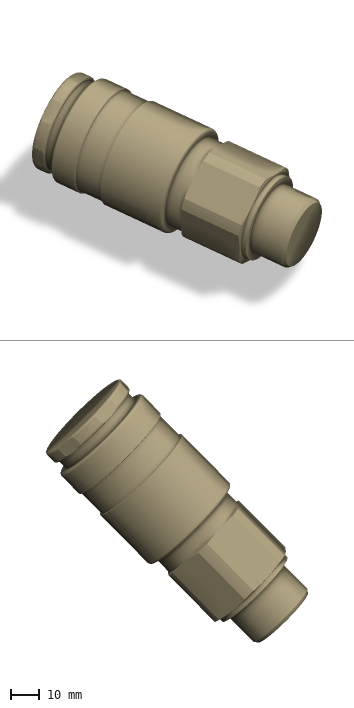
import cadquery as cq
import math


flange_end = 5.0
sleeve_start = 8.8
sleeve_end = 53.8
hex_start = 60.0
hex_end = 84.0
ring_end = 86.0
total_length = 100.0

barrel_diameter = 34.0
ring_diameter = 32.0
stub_diameter = 26.4
stub_chamfer_length = 1.3
stub_chamfer_depth = 1.0

flange_diameter = 37.0
flange_across_flats = 36.0
flange_rounding = 1.0

hex_sides = 6
hex_corner_diameter = 37.0
hex_across_flats = 34.0
hex_turn = 1.4
hex_chamfer_length = 0.4
hex_chamfer_depth = (hex_corner_diameter - hex_across_flats) / 2

sleeve_diameter = 40.0
sleeve_rounding = 1.0
groove_diameter = 38.5
groove_start = 18.5
groove_end = 29.1
groove_wall_slope = 0.2


def cylinder(start, end, diameter):
    """Round bar along X from start to end."""
    return cq.Workplane("YZ").workplane(offset=start).circle(diameter / 2).extrude(end - start)


def hexagonal_prism(start, end, across_flats, turn=0):
    """Hexagonal bar along X with flats facing -Y and +Y, turned about X by degrees."""
    half_side_angle = 180 / hex_sides
    across_corners = across_flats / math.cos(math.radians(half_side_angle))
    prism = cq.Workplane("YZ").workplane(offset=start).polygon(hex_sides, across_corners).extrude(end - start)
    return prism.rotate((0, 0, 0), (1, 0, 0), half_side_angle + turn)


def make_flange():
    """Round disc with rounded rims and six flats."""
    disc = cylinder(0, flange_end, flange_diameter).edges().fillet(flange_rounding)
    return disc.intersect(hexagonal_prism(0, flange_end, flange_across_flats))


def make_hexagon():
    """Hexagon with round corners and a conical chamfer at both ends."""
    corner_radius = hex_corner_diameter / 2
    end_radius = corner_radius - hex_chamfer_depth
    envelope = (
        cq.Workplane("XY")
        .moveTo(hex_start, 0)
        .lineTo(hex_start, end_radius)
        .lineTo(hex_start + hex_chamfer_length, corner_radius)
        .lineTo(hex_end - hex_chamfer_length, corner_radius)
        .lineTo(hex_end, end_radius)
        .lineTo(hex_end, 0)
        .close()
        .revolve(360, (0, 0, 0), (1, 0, 0))
    )
    return envelope.intersect(hexagonal_prism(hex_start, hex_end, hex_across_flats, hex_turn))


def make_stub():
    """Plain round end with a chamfered tip."""
    stub = cylinder(ring_end, total_length, stub_diameter)
    return stub.faces(">X").chamfer(stub_chamfer_length, stub_chamfer_depth)


def make_core():
    """Closed core: flange, barrel, hexagon, ring and stub in one piece."""
    barrel = cylinder(flange_end, hex_start, barrel_diameter)
    ring = cylinder(hex_end, ring_end, ring_diameter)
    return make_flange().union(barrel).union(make_hexagon()).union(ring).union(make_stub())


def make_groove():
    """Ring to cut from the sleeve, with slightly sloping side walls."""
    outer_radius = sleeve_diameter / 2
    bottom_radius = groove_diameter / 2
    return (
        cq.Workplane("XY")
        .moveTo(groove_start, outer_radius)
        .lineTo(groove_start + groove_wall_slope, bottom_radius)
        .lineTo(groove_end - groove_wall_slope, bottom_radius)
        .lineTo(groove_end, outer_radius)
        .close()
        .revolve(360, (0, 0, 0), (1, 0, 0))
    )


def make_sleeve():
    """Sleeve around the barrel, rounded at its outer ends."""
    outside = cylinder(sleeve_start, sleeve_end, sleeve_diameter).edges().fillet(sleeve_rounding)
    return outside.cut(make_groove()).cut(cylinder(sleeve_start, sleeve_end, barrel_diameter))


core = make_core()
sleeve = make_sleeve()
result = cq.Compound.makeCompound([core.val(), sleeve.val()])